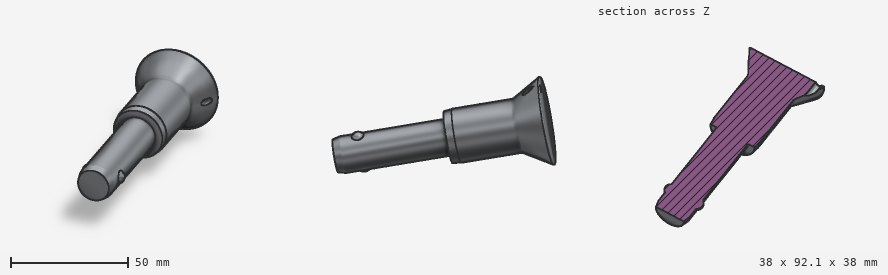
import cadquery as cq
import math


handle_length = 43.1
flange_radius = 19.0
rim_thickness = 0.6
rim_rounding = 0.4
flare_angle = 30.5
flare_fillet = 2.3
body_radius = 11.75
collar_length = 3.6
collar_split = 1.7
collar_split_radius = 11.45
collar_start_radius = 11.65
collar_end_radius = 11.25

shank_radius = 8.0
shank_length = 49.0
tip_length = 3.4
tip_radius = 7.15

ball_radius = 3.15
ball_span = 19.0
ball_to_tip = 11.2

lanyard_diameter = 3.0
lanyard_offset = 16.0


def make_handle():
    """Handle with a flared flange, a cylindrical body and a tapered collar."""
    rim_front = handle_length - rim_thickness
    flare_length = (flange_radius - body_radius) / math.tan(math.radians(flare_angle))
    flare_end = rim_front - flare_length
    handle = (
        cq.Workplane("XY")
        .moveTo(0, 0)
        .lineTo(collar_end_radius, 0)
        .lineTo(collar_split_radius, collar_split)
        .lineTo(collar_start_radius, collar_length)
        .lineTo(body_radius, collar_length)
        .lineTo(body_radius, flare_end)
        .lineTo(flange_radius, rim_front)
        .lineTo(flange_radius, handle_length)
        .lineTo(0, handle_length)
        .close()
        .revolve(360, (0, 0, 0), (0, 1, 0))
    )
    flare_edge = cq.selectors.BoxSelector(
        (-flange_radius, flare_end - flare_fillet / 2, -flange_radius),
        (flange_radius, flare_end + flare_fillet / 2, flange_radius),
    )
    handle = handle.edges("%CIRCLE").edges(flare_edge).fillet(flare_fillet)
    return handle.faces(">Y").edges("%CIRCLE").fillet(rim_rounding)


def make_shank():
    """Cylindrical shank with a tapered tip, starting inside the handle."""
    return (
        cq.Workplane("XY")
        .moveTo(0, collar_length)
        .lineTo(shank_radius, collar_length)
        .lineTo(shank_radius, tip_length - shank_length)
        .lineTo(tip_radius, -shank_length)
        .lineTo(0, -shank_length)
        .close()
        .revolve(360, (0, 0, 0), (0, 1, 0))
    )


def make_ball(side):
    """Locking ball that stands out of the shank on the given side of X."""
    ball_x = side * (ball_span / 2 - ball_radius)
    return cq.Workplane("XY").sphere(ball_radius).translate((ball_x, ball_to_tip - shank_length, 0))


def make_lanyard_hole():
    """Cutter for the hole through the flange, parallel to the axis."""
    return (
        cq.Workplane("XZ", origin=(0, handle_length, 0))
        .center(lanyard_offset, 0)
        .circle(lanyard_diameter / 2)
        .extrude(handle_length)
    )


pin = make_handle().union(make_shank())
for side in (-1, 1):
    pin = pin.union(make_ball(side))

result = pin.cut(make_lanyard_hole())